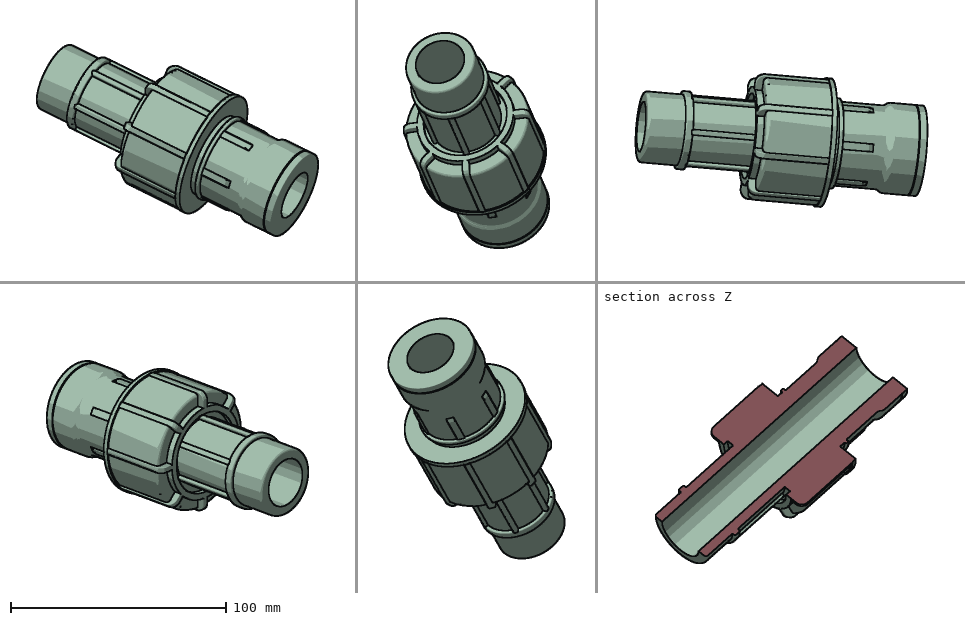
import cadquery as cq

total_length = 131.5
bore_diameter = 23.3
full_turn = 360

spigot_diameter = 33.3
nose_face_diameter = 30.2
nose_radius = (spigot_diameter - nose_face_diameter) / 2
collar_diameter = 36.5
collar_start = 17.9
collar_length = 3.7
sleeve_rib_count = 6
sleeve_rib_width = 2.6
sleeve_rounding = 0.7

nut_start = 50.5
nut_end = 87.2
nut_diameter = 60.5
nut_shell_start = 53.9
nut_shell_diameter = 58.8
nut_shell_rounding = 1.8
nut_flange_diameter = 60.1
nut_flange_thickness = 2.4
nut_hub_diameter = 46.2
nut_mouth_diameter = 39.8
nut_mouth_depth = 2.6
nut_rib_count = 8
nut_rib_width = 2.9
nut_rib_rounding = 0.33
nut_rib_nose_radius = 4.0

neck_diameter = 40.2
ring_start = 90.0
ring_length = 2.0
ring_rounding = 0.4
ring_end = ring_start + ring_length
socket_diameter = 42.3
barrel_diameter = 39.3
flare_start = 112.2
flare_end = 116.1
rim_groove_start = 127.5
rim_groove_width = 0.4
rim_groove_depth = 0.1
rim_rounding = 0.33
socket_rib_count = 6
socket_rib_diameter = 40.5
socket_rib_width = 3.7
socket_rib_rounding = 0.3
socket_rib_end = 106.5
top_socket_rib_end = 107.6
socket_rib_slope_length = 2.1


def cylinder(start, end, diameter):
    """Solid round bar along X between two stations."""
    return cq.Workplane("YZ", origin=(start, 0, 0)).circle(diameter / 2).extrude(end - start)


def bar_up(start, end, width, height):
    """Bar from the axis up to the given height, centred on the XZ plane."""
    bar = cq.Workplane("XY").box(end - start, width, height, centered=False)
    return bar.translate((start, -width / 2, 0))


def around_axis(body, rib, count):
    """Add evenly spaced copies of a rib turned about the X axis."""
    for index in range(count):
        body = body.union(rib.rotate((0, 0, 0), (1, 0, 0), index * full_turn / count))
    return body


def make_spigot():
    """Tubular spigot with a rounded nose, a collar and a ribbed sleeve behind it."""
    sleeve = cylinder(0, nut_end, spigot_diameter).faces("<X").edges().fillet(nose_radius)
    collar_end = collar_start + collar_length
    collar = cylinder(collar_start, collar_end, collar_diameter).edges().fillet(sleeve_rounding)
    rib = bar_up(collar_end - sleeve_rounding, nut_end, sleeve_rib_width, collar_diameter / 2)
    rib = rib.edges("|X and >Z").fillet(sleeve_rounding)
    return around_axis(sleeve.union(collar), rib, sleeve_rib_count)


def make_nut():
    """Union nut: rounded shell, front hub, rear flange, grip ribs and a recessed mouth."""
    shell = cylinder(nut_shell_start, nut_end, nut_shell_diameter)
    shell = shell.faces("<X").edges().fillet(nut_shell_rounding)
    hub = cylinder(nut_start, nut_shell_start, nut_hub_diameter)
    flange_start = nut_end - nut_flange_thickness
    flange = cylinder(flange_start, nut_end, nut_flange_diameter)
    rib_envelope = cylinder(nut_start, flange_start, nut_diameter)
    rib_envelope = rib_envelope.faces("<X").edges().fillet(nut_rib_nose_radius)
    rib = bar_up(nut_start, flange_start, nut_rib_width, nut_diameter / 2).intersect(rib_envelope)
    rib = rib.edges("<Y or >Y").edges("not (<Z or >X)").fillet(nut_rib_rounding)
    nut = around_axis(shell.union(hub).union(flange), rib, nut_rib_count)
    return nut.cut(cylinder(nut_start, nut_start + nut_mouth_depth, nut_mouth_diameter))


def make_socket_body():
    """Revolved barrel that flares in an S-curve to the socket end."""
    barrel_radius = barrel_diameter / 2
    socket_radius = socket_diameter / 2
    half_run = (flare_end - flare_start) / 2
    half_rise = (socket_radius - barrel_radius) / 2
    flare_middle = (flare_start + half_run, barrel_radius + half_rise)
    flare_radius = (half_run**2 + half_rise**2) / (2 * half_rise)
    outline = (
        cq.Workplane("XY")
        .moveTo(ring_end, 0)
        .lineTo(ring_end, barrel_radius)
        .lineTo(flare_start, barrel_radius)
        .radiusArc(flare_middle, -flare_radius)
        .radiusArc((flare_end, socket_radius), flare_radius)
        .lineTo(total_length, socket_radius)
        .lineTo(total_length, 0)
        .close()
    )
    body = outline.revolve(full_turn, (0, 0, 0), (1, 0, 0))
    return body.faces(">X").edges().fillet(rim_rounding)


def socket_rib(end):
    """Rib on the barrel whose far end slopes down to the barrel surface."""
    top = socket_rib_diameter / 2
    foot = barrel_diameter / 2
    rib = (
        cq.Workplane("XZ")
        .moveTo(ring_start, 0)
        .lineTo(ring_start, top)
        .lineTo(end - socket_rib_slope_length, top)
        .lineTo(end, foot)
        .lineTo(end, 0)
        .close()
        .extrude(socket_rib_width / 2, both=True)
    )
    return rib.faces(">Z").edges("|X").fillet(socket_rib_rounding)


def make_rim_groove():
    """Thin ring of material removed near the socket end."""
    groove_end = rim_groove_start + rim_groove_width
    groove = cylinder(rim_groove_start, groove_end, socket_diameter)
    core = cylinder(rim_groove_start, groove_end, socket_diameter - 2 * rim_groove_depth)
    return groove.cut(core)


def make_socket():
    """Neck, ring and ribbed barrel that ends in the socket."""
    neck = cylinder(nut_end, ring_start, neck_diameter)
    ring = cylinder(ring_start, ring_end, socket_diameter).edges().fillet(ring_rounding)
    socket = make_socket_body().union(neck).union(ring)
    socket = around_axis(socket, socket_rib(socket_rib_end), socket_rib_count)
    socket = socket.union(socket_rib(top_socket_rib_end))
    return socket.cut(make_rim_groove())


bore = cylinder(0, total_length, bore_diameter)
result = make_nut().union(make_spigot()).union(make_socket()).cut(bore)